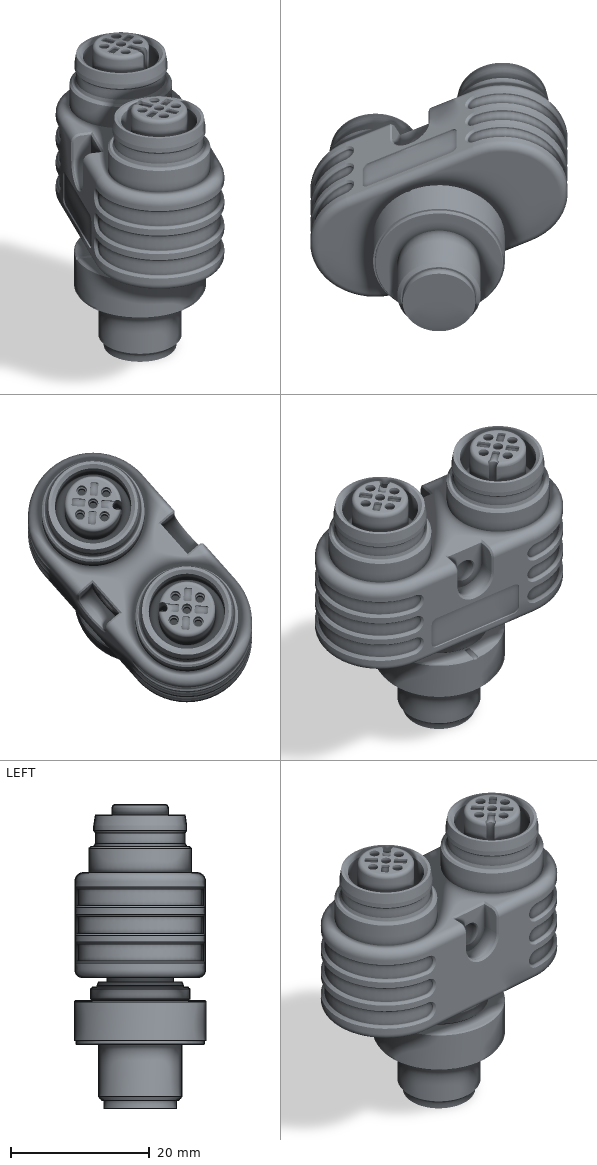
import cadquery as cq
import math


body_length = 39.3
body_depth = 18.8
body_bottom = 18.88
body_top = 34.0
top_fillet = 1.25
bottom_fillet = 1.1
end_radius = body_depth / 2
port_offset = body_length / 2 - end_radius

tolerance = 0.005

groove_width = 2.4
groove_depth = 0.53
groove_chamfer = 0.3
groove_pitch = 4.0
groove_middle = 26.45
groove_end_inset = 0.2

notch_width = 5.85
notch_depth = 2.85
notch_chamfer = 0.25
hole_height = 29.85
hole_diameter = 3.2
hole_chamfer = 0.18

label_length = 15.2
label_height = 5.4
label_center = 23.3
label_corner = 0.88
label_depth = 0.2

overall_height = 43.8
base_diameter = 14.8
base_top = 37.75
base_chamfer = 0.3
neck_diameter = 12.9
neck_flare_height = 0.4
bead_diameter = 13.4
bead_bottom = 40.05
bead_middle = 40.75
bead_undercut = 0.3
shell_top = 42.25
rim_diameter = 12.1
rim_chamfer_height = 0.5
bore_diameter = 11.0
seal_height = 36.8

insert_diameter = 8.15
insert_fillet = 0.55

contact_radius = 2.5
contact_mouth = 1.5
contact_mouth_depth = 1.3
contact_bore = 1.15
contact_bore_depth = 2.63
slot_inner = 1.15
slot_outer = 3.05
slot_width = 1.15
slot_corner = 0.2
slot_depth = 0.53
keyway_diameter = 1.5
keyway_radius = 3.55

tip_diameter = 10.45
tip_height = 1.2
barrel_end_diameter = 11.05
barrel_diameter = 12.0
barrel_bottom = 1.7

lip_diameter = 18.5
lip_bottom = 9.2
lip_chamfer = 0.15
nut_diameter = 19.0
nut_bottom = 9.75
nut_top = 15.55
nut_chamfer = 0.18
mark_width = 0.88
mark_depth = 0.35

collar_diameter = 14.3
collar_top = 17.48
collar_chamfer = 0.25
flange_diameter = 12.5
flange_shoulder = 17.7
flange_top_diameter = 12.0
flange_top = 18.25
stem_diameter = 9.6


def stadium(depth):
    """Stadium prism over the body height; its straight length is the port spacing."""
    return (
        cq.Workplane("XY", origin=(0, 0, body_bottom))
        .slot2D(2 * port_offset + depth, depth)
        .extrude(body_top - body_bottom)
    )


def turned(profile):
    """Solid of revolution about Z from (radius, height) points."""
    return cq.Workplane("XZ").polyline(profile).close().revolve(360, (0, 0, 0), (0, 1, 0))


def grip_grooves():
    """Three stacked grooves wrapped around each end, with round ends on the flat faces."""
    skin = stadium(body_depth).cut(stadium(body_depth - 2 * groove_depth))
    inner_x = port_offset + groove_end_inset - groove_width / 2
    reach = body_length
    grooves = cq.Workplane("XY")
    for side in (-1, 1):
        for step in (-1, 0, 1):
            height = groove_middle + step * groove_pitch
            outline = (
                cq.Workplane("XZ", origin=(side * (inner_x + reach / 2), 0, height))
                .slot2D(reach, groove_width)
                .extrude(body_depth, both=True)
            )
            grooves = grooves.union(skin.intersect(outline))
    return grooves


def notch(side):
    """U-shaped cutter open at the top, entering the face at Y = side * half depth."""
    rise = body_top - hole_height
    cutter = cq.Workplane("XY").box(notch_width, notch_depth, 2 * rise, centered=(True, True, False))
    round_end = cq.Workplane("XZ").circle(notch_width / 2).extrude(notch_depth / 2, both=True)
    return cutter.union(round_end).translate((0, side * (end_radius - notch_depth / 2), hole_height))


def distance_from_core(point):
    """Distance from the straight line that joins the two port axes, seen from above."""
    return math.hypot(max(abs(point.x) - port_offset, 0), point.y)


def groove_rims(body):
    """Edges where the grip grooves meet the upright outer wall."""
    lowest = body_bottom + bottom_fillet + tolerance
    highest = body_top - top_fillet - tolerance
    rims = []
    for edge in body.edges().vals():
        box = edge.BoundingBox()
        points = edge.positions([0.1, 0.5, 0.9])
        on_wall = all(abs(distance_from_core(p) - end_radius) < tolerance for p in points)
        if on_wall and lowest < box.zmin and box.zmax < highest:
            rims.append(edge)
    return rims


def notch_rims(body):
    """Edges where the notches break through the outer faces and the top."""
    half_width = notch_width / 2 + tolerance
    lowest = hole_height - half_width
    near_face = end_radius - notch_depth / 2
    rims = []
    for edge in body.edges().vals():
        box = edge.BoundingBox()
        middle = edge.positionAt(0.5)
        in_notch = -half_width < box.xmin and box.xmax < half_width and box.zmin > lowest
        on_top = abs(middle.z - body_top) < tolerance
        if in_notch and (on_top or abs(middle.y) > near_face):
            rims.append(edge)
    return rims


def mounting_hole():
    """Cutter for the cross hole, flared where it meets the two notch floors."""
    floor = end_radius - notch_depth
    radius = hole_diameter / 2
    flared = radius + hole_chamfer
    return (
        cq.Workplane("XY")
        .polyline(
            [
                (0, -floor),
                (flared, -floor),
                (radius, hole_chamfer - floor),
                (radius, floor - hole_chamfer),
                (flared, floor),
                (0, floor),
            ]
        )
        .close()
        .revolve(360, (0, 0, 0), (0, 1, 0))
        .translate((0, 0, hole_height))
    )


def label_recess():
    return (
        cq.Workplane("XZ", origin=(0, label_depth - end_radius, label_center))
        .rect(label_length, label_height)
        .extrude(2 * label_depth)
        .edges("|Y")
        .fillet(label_corner)
    )


def make_body():
    body = stadium(body_depth)
    body = body.faces(">Z").edges().fillet(top_fillet)
    body = body.faces("<Z").edges().fillet(bottom_fillet)
    body = body.cut(grip_grooves())
    body = body.newObject(groove_rims(body)).chamfer(groove_chamfer)
    body = body.cut(notch(-1)).cut(notch(1))
    body = body.newObject(notch_rims(body)).chamfer(notch_chamfer)
    return body.cut(mounting_hole()).cut(label_recess())


def make_port_shell():
    """Stepped, open-topped collar with a rounded seal ring at the bottom of its bore."""
    base_radius = base_diameter / 2
    neck_radius = neck_diameter / 2
    bead_radius = bead_diameter / 2
    bore_radius = bore_diameter / 2
    shell = turned(
        [
            (0, body_top),
            (base_radius, body_top),
            (base_radius, base_top - base_chamfer),
            (base_radius - base_chamfer, base_top),
            (bead_radius, base_top),
            (neck_radius, base_top + neck_flare_height),
            (neck_radius, bead_bottom - bead_undercut),
            (bead_radius, bead_bottom),
            (bead_radius, bead_middle),
            (neck_radius, shell_top),
            (rim_diameter / 2, shell_top),
            (bore_radius, shell_top - rim_chamfer_height),
            (bore_radius, seal_height),
            (0, seal_height),
        ]
    )
    insert_radius = insert_diameter / 2
    seal_radius = (bore_radius - insert_radius) / 2
    seal = cq.Solid.makeTorus(insert_radius + seal_radius, seal_radius, cq.Vector(0, 0, seal_height))
    return shell.union(cq.Workplane(seal))


def make_insert():
    """Contact carrier with five sockets, four diagonal slots and one keyway."""
    insert = (
        cq.Workplane("XY", origin=(0, 0, body_top))
        .circle(insert_diameter / 2)
        .extrude(overall_height - body_top)
        .faces(">Z")
        .edges()
        .fillet(insert_fillet)
    )
    face = cq.Workplane("XY", origin=(0, 0, overall_height))
    sockets = [(0, 0), (contact_radius, 0), (-contact_radius, 0), (0, contact_radius), (0, -contact_radius)]
    insert = insert.cut(face.pushPoints(sockets).circle(contact_mouth / 2).extrude(-contact_mouth_depth))
    insert = insert.cut(face.pushPoints(sockets).circle(contact_bore / 2).extrude(-contact_bore_depth))

    slot_length = slot_outer - slot_inner
    slot = (
        face.center((slot_inner + slot_outer) / 2, 0)
        .rect(slot_length, slot_width)
        .extrude(-slot_depth)
        .edges("|Z")
        .fillet(slot_corner)
    )
    for angle in (45, 135, 225, 315):
        insert = insert.cut(slot.rotate((0, 0, 0), (0, 0, 1), angle))

    key_axis = face.center(keyway_radius, 0)
    link_length = 2 * (keyway_radius - slot_outer + slot_corner)
    keyway = key_axis.circle(keyway_diameter / 2).extrude(seal_height - overall_height)
    keyway = keyway.union(key_axis.rect(link_length, slot_width).extrude(-slot_depth))
    return insert.cut(keyway.rotate((0, 0, 0), (0, 0, 1), 45))


def make_plug():
    """Stepped plug with its coupling nut; a radial groove marks the nut at the front."""
    nut_radius = nut_diameter / 2
    collar_radius = collar_diameter / 2
    barrel_radius = barrel_diameter / 2
    lip_radius = lip_diameter / 2
    flange_radius = flange_diameter / 2
    stem_radius = stem_diameter / 2
    plug = turned(
        [
            (0, 0),
            (tip_diameter / 2, 0),
            (tip_diameter / 2, tip_height),
            (barrel_end_diameter / 2, tip_height),
            (barrel_radius, barrel_bottom),
            (barrel_radius, lip_bottom),
            (lip_radius - lip_chamfer, lip_bottom),
            (lip_radius, lip_bottom + lip_chamfer),
            (lip_radius, nut_bottom),
            (nut_radius, nut_bottom),
            (nut_radius, nut_top - nut_chamfer),
            (nut_radius - nut_chamfer, nut_top),
            (collar_radius - collar_chamfer, nut_top),
            (collar_radius, nut_top + collar_chamfer),
            (collar_radius, collar_top - collar_chamfer),
            (collar_radius - collar_chamfer, collar_top),
            (flange_radius, collar_top),
            (flange_radius, flange_shoulder),
            (flange_top_diameter / 2, flange_top),
            (stem_radius, flange_top),
            (stem_radius, body_bottom),
            (0, body_bottom),
        ]
    )
    mark_radius = ((mark_width / 2) ** 2 + mark_depth**2) / (2 * mark_depth)
    mark = (
        cq.Workplane("XZ", origin=(0, -collar_radius, nut_top - mark_depth + mark_radius))
        .circle(mark_radius)
        .extrude(nut_radius - collar_radius)
    )
    return plug.cut(mark)


port = make_port_shell().union(make_insert())
result = (
    make_body()
    .union(make_plug())
    .union(port.translate((-port_offset, 0, 0)))
    .union(port.rotate((0, 0, 0), (0, 0, 1), 180).translate((port_offset, 0, 0)))
)